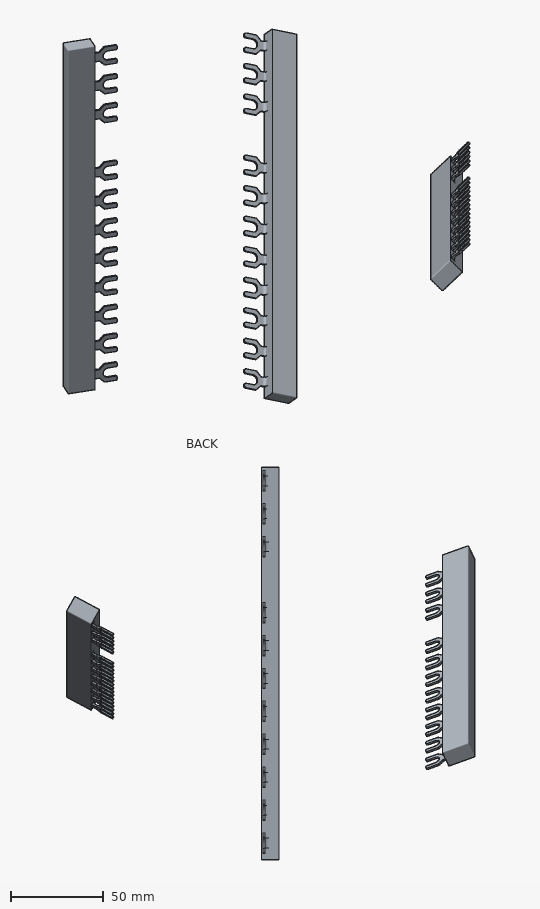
import cadquery as cq

bar_length = 212.3
bar_width = 9.5
bar_depth = 15.3
edge_radius = 0.6

total_depth = 28.2
fork_reach = total_depth - bar_depth
fork_thickness = 1.0
fork_left = 3.0
fork_width = 11.0
slot_width = 5.7
slot_bottom = 4.9
neck_width = 5.3
neck_length = 2.8
tip_radius = 1.0

bend_radii = [1.5, 1.0, 2.0]

fork_places = 12
empty_place = 3
top_fork_inset = 7.5
fork_span = 195.7
fork_pitch = fork_span / (fork_places - 1)


def make_housing():
    """Bar whose edges are all rounded except the four around its back face."""
    bar = cq.Workplane("XY").box(bar_width, bar_depth, bar_length, centered=(True, False, False))
    return bar.translate((0, -bar_depth, 0)).edges("not >Y").fillet(edge_radius)


def make_fork(bend_radius):
    """Spade centred on Z = 0: neck flaring toward -X at Y = 0, sloped shoulders, two prongs."""
    half_width = fork_width / 2
    half_neck = neck_width / 2
    shoulder_end = neck_length + half_width - half_neck
    outline = [
        (0, -half_neck),
        (neck_length, -half_neck),
        (shoulder_end, -half_width),
        (fork_reach, -half_width),
        (fork_reach, half_width),
        (shoulder_end, half_width),
        (neck_length, half_neck),
        (0, half_neck),
    ]
    blade = cq.Workplane("YZ").polyline(outline).close().extrude(fork_thickness)
    slot_radius = slot_width / 2
    slot_centre = slot_bottom + slot_radius
    slot = (
        cq.Workplane("YZ")
        .moveTo(fork_reach, -slot_radius)
        .lineTo(slot_centre, -slot_radius)
        .threePointArc((slot_bottom, 0), (slot_centre, slot_radius))
        .lineTo(fork_reach, slot_radius)
        .close()
        .extrude(fork_thickness)
    )
    blade = blade.cut(slot).faces(">Y").edges("|X").fillet(tip_radius)
    flare = (
        cq.Workplane("XY", origin=(0, 0, -half_neck))
        .moveTo(0, 0)
        .lineTo(0, bend_radius)
        .radiusArc((-bend_radius, 0), bend_radius)
        .close()
        .extrude(neck_width)
    )
    return blade.union(flare).translate((fork_left, 0, 0))


result = make_housing()
forks = [make_fork(bend_radius) for bend_radius in bend_radii]
for place in range(fork_places):
    if place != empty_place:
        fork = forks[place % len(forks)]
        height = bar_length - top_fork_inset - place * fork_pitch
        result = result.union(fork.translate((0, 0, height)))